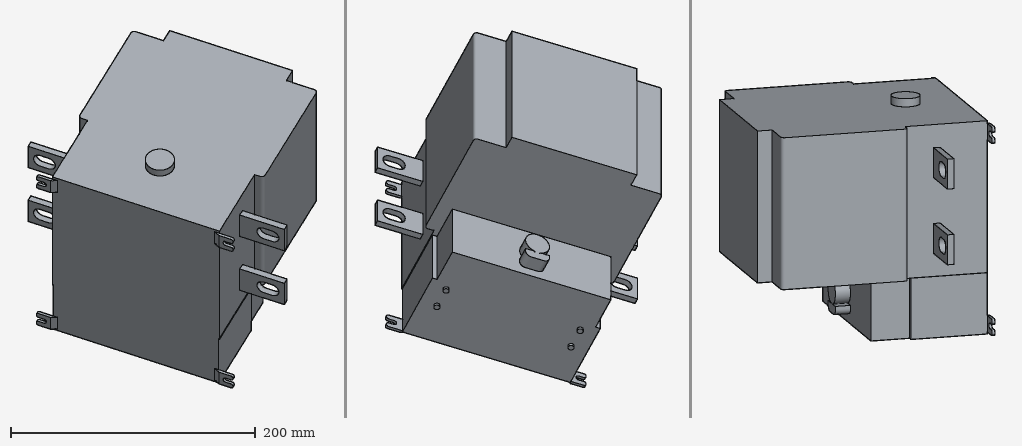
import cadquery as cq


HOUSING_TOP = 180.0
HOUSING_BOTTOM = 52.0
FRONT_WIDTH = 149.7
WIDE_WIDTH = 166.0
WIDE_FRONT = 70.0
WIDE_BACK = 177.7
WIDE_CORNER_RADIUS = 3.0
REAR_WIDTH = 110.2
REAR_BACK = 190.0

BASE_WIDTH = 148.3
BASE_BREAK = 65.0
BASE_REAR_WIDTH = 140.0
BASE_BACK = 97.8

BUTTON_DIAMETER = 23.9
BUTTON_HEIGHT = 7.0
BUTTON_Y = 47.8

PIN_DIAMETER = 5.0
PIN_HEIGHT = 2.3
PIN_X = 59.2
PIN_ROWS = (38.0, 57.9)

BAR_SPAN = 229.5
BAR_THICKNESS = 5.5
BAR_HEIGHT = 25.3
BAR_Y = 43.2
BAR_LEVELS = (84.0, 147.9)
BAR_SLOT_LENGTH = 19.5
BAR_SLOT_WIDTH = 12.5
BAR_SLOT_X = 100.0

LUG_TIP = 88.2
LUG_BEND = 75.5
LUG_SLOPE = 74.0
LUG_EDGE = 71.2
LUG_ROOT = 70.5
LUG_THICKNESS = 2.5
LUG_SLOPE_THICKNESS = 1.8
LUG_EDGE_THICKNESS = 0.5
LUG_HEIGHT = 14.0
LUG_LEVELS = (8.7, 170.5)
LUG_SLOT_END = 79.2
LUG_SLOT_WIDTH = 4.5
LUG_TIP_RADIUS = 2.11

CONNECTOR_LENGTH = 12.9
PLUG_RADIUS = 10.5
PLUG_Z = 26.2
KEY_WIDTH = 2 * PLUG_RADIUS
KEY_BOTTOM = 7.8
KEY_TOP = 15.8
KEY_CORNER_RADIUS = 5.0


def block(width, y_front, y_back, z_bottom, z_top):
    """Box centred on X between the given Y and Z limits."""
    return cq.Workplane("XY").box(
        width, y_back - y_front, z_top - z_bottom, centered=(True, False, False)
    ).translate((0, y_front, z_bottom))


def make_housing():
    wide = block(WIDE_WIDTH, WIDE_FRONT, WIDE_BACK, HOUSING_BOTTOM, HOUSING_TOP)
    wide = wide.edges("|Z").fillet(WIDE_CORNER_RADIUS)
    front = block(FRONT_WIDTH, 0, WIDE_BACK, HOUSING_BOTTOM, HOUSING_TOP)
    rear = block(REAR_WIDTH, WIDE_FRONT, REAR_BACK, HOUSING_BOTTOM, HOUSING_TOP)
    return front.union(wide).union(rear)


def make_base():
    front = block(BASE_WIDTH, 0, BASE_BREAK, 0, HOUSING_BOTTOM)
    rear = block(BASE_REAR_WIDTH, 0, BASE_BACK, 0, HOUSING_BOTTOM)
    return front.union(rear)


def make_button():
    top = cq.Workplane("XY", origin=(0, BUTTON_Y, HOUSING_TOP))
    return top.circle(BUTTON_DIAMETER / 2).extrude(BUTTON_HEIGHT)


def make_pins():
    places = [(side * PIN_X, y) for side in (-1, 1) for y in PIN_ROWS]
    return cq.Workplane("XY").pushPoints(places).circle(PIN_DIAMETER / 2).extrude(-PIN_HEIGHT)


def make_bar(level):
    """Bar through the housing with a slotted terminal at each end."""
    section = cq.Workplane("XZ", origin=(0, BAR_Y, level))
    bar = section.rect(BAR_SPAN, BAR_HEIGHT).extrude(BAR_THICKNESS / 2, both=True)
    slots = (
        section.pushPoints([(-BAR_SLOT_X, 0), (BAR_SLOT_X, 0)])
        .slot2D(BAR_SLOT_LENGTH, BAR_SLOT_WIDTH)
        .extrude(BAR_THICKNESS, both=True)
    )
    return bar.cut(slots)


def make_right_lug(level):
    """Forked lug on the +X side, tapering in two slopes to a thin edge on the front face."""
    lug = (
        cq.Workplane("XY", origin=(0, 0, level))
        .moveTo(LUG_ROOT, 0)
        .lineTo(LUG_EDGE, -LUG_EDGE_THICKNESS)
        .lineTo(LUG_SLOPE, -LUG_SLOPE_THICKNESS)
        .lineTo(LUG_BEND, -LUG_THICKNESS)
        .lineTo(LUG_TIP, -LUG_THICKNESS)
        .lineTo(LUG_TIP, 0)
        .close()
        .extrude(LUG_HEIGHT / 2, both=True)
    )
    slot_length = 2 * (LUG_TIP - LUG_SLOT_END)
    slot = (
        cq.Workplane("XZ", origin=(LUG_TIP, 0, level))
        .slot2D(slot_length, LUG_SLOT_WIDTH)
        .extrude(LUG_THICKNESS, both=True)
    )
    return lug.cut(slot).faces(">X").edges("|Y").fillet(LUG_TIP_RADIUS)


def make_connector():
    """Round plug resting on a key with rounded lower corners."""
    back = cq.Workplane("XZ", origin=(0, BASE_BACK, 0))
    plug = back.center(0, PLUG_Z).circle(PLUG_RADIUS).extrude(-CONNECTOR_LENGTH)
    key = block(KEY_WIDTH, BASE_BACK, BASE_BACK + CONNECTOR_LENGTH, KEY_BOTTOM, KEY_TOP)
    key = key.edges("|Y and <Z").fillet(KEY_CORNER_RADIUS)
    return plug.union(key)


result = make_housing().union(make_base()).union(make_button()).union(make_pins())
for bar_level in BAR_LEVELS:
    result = result.union(make_bar(bar_level))
for lug_level in LUG_LEVELS:
    right_lug = make_right_lug(lug_level)
    result = result.union(right_lug).union(right_lug.mirror("YZ"))
result = result.union(make_connector())